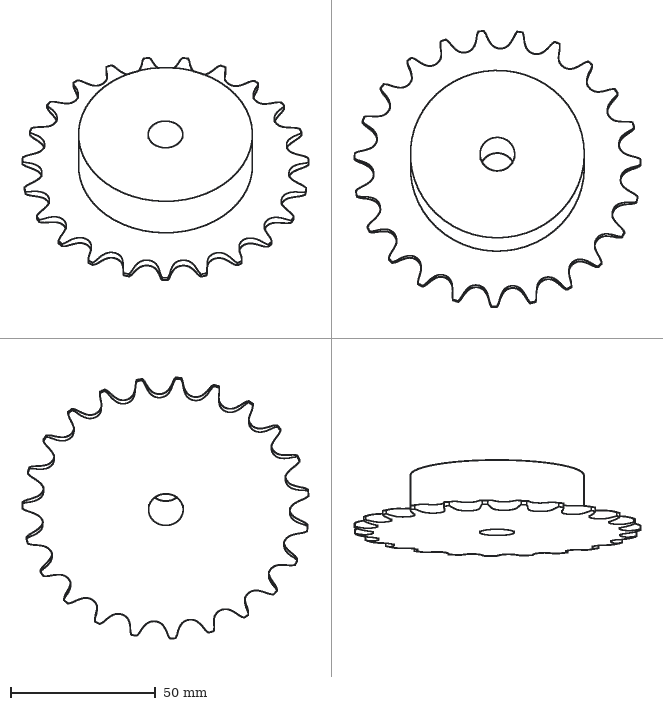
import cadquery as cq
import math

TOOTH_COUNT = 23
PITCH_DIAMETER = 93.2
ROLLER_DIAMETER = 7.7
SEAT_CLEARANCE = 0.04
TIP_DIAMETER = 99.0

DISC_THICKNESS = 3.0
BEVEL_RADIUS = 15.8
BEVEL_LENGTH = 5.0

HUB_DIAMETER = 60.0
BORE_DIAMETER = 12.0
TOTAL_HEIGHT = 20.0

PITCH_RADIUS = PITCH_DIAMETER / 2
TIP_RADIUS = TIP_DIAMETER / 2
HALF_TOOTH_ANGLE = math.pi / TOOTH_COUNT
FIRST_TOOTH_ANGLE = -math.pi / 2

SEAT_SWEEP = math.radians(55 - 60 / TOOTH_COUNT)
WORKING_SWEEP = math.radians(18 - 56 / TOOTH_COUNT)
FLANK_SLOPE = math.radians(17 - 64 / TOOTH_COUNT)

WORKING_CENTER_OFFSET = 0.8 * ROLLER_DIAMETER
TOPPING_CENTER_OFFSET = 1.4 * ROLLER_DIAMETER
SEAT_RADIUS = 0.5025 * ROLLER_DIAMETER + SEAT_CLEARANCE
WORKING_RADIUS = SEAT_RADIUS + WORKING_CENTER_OFFSET
STRAIGHT_LENGTH = (
    TOPPING_CENTER_OFFSET * math.sin(FLANK_SLOPE) - WORKING_CENTER_OFFSET * math.sin(WORKING_SWEEP)
)
TOPPING_RADIUS = (
    WORKING_CENTER_OFFSET * math.cos(WORKING_SWEEP)
    + TOPPING_CENTER_OFFSET * math.cos(FLANK_SLOPE)
    - WORKING_RADIUS
)


def polar(center, radius, angle):
    """Point at a distance and direction from a centre."""
    return (center[0] + radius * math.cos(angle), center[1] + radius * math.sin(angle))


def turned(point, angle):
    """Point rotated about the sprocket axis."""
    distance = math.hypot(*point)
    return polar((0, 0), distance, math.atan2(point[1], point[0]) + angle)


def mirrored(point):
    """Point reflected across the tooth centreline."""
    return (point[0], -point[1])


def topping_end_direction(center):
    """Direction from the topping arc's centre to where the arc meets the tip circle."""
    distance = math.hypot(*center)
    cosine = (TIP_RADIUS**2 - distance**2 - TOPPING_RADIUS**2) / (2 * distance * TOPPING_RADIUS)
    return math.atan2(center[1], center[0]) - math.acos(cosine)


def half_tooth_points():
    """Flank of a tooth centred on +X, from the root of the gap on its -Y side up to the tip circle.

    The points are named after the stretches they end or halve.
    """
    root_angle = math.pi - HALF_TOOTH_ANGLE
    seat_end_angle = root_angle - SEAT_SWEEP
    working_end_angle = seat_end_angle - WORKING_SWEEP
    straight_angle = working_end_angle - math.pi / 2
    topping_start_angle = working_end_angle - math.pi

    seat_center = polar((0, 0), PITCH_RADIUS, -HALF_TOOTH_ANGLE)
    seat_end = polar(seat_center, SEAT_RADIUS, seat_end_angle)
    working_center = polar(seat_end, WORKING_RADIUS, seat_end_angle - math.pi)
    working_end = polar(working_center, WORKING_RADIUS, working_end_angle)
    straight_end = polar(working_end, STRAIGHT_LENGTH, straight_angle)
    topping_center = polar(straight_end, TOPPING_RADIUS, working_end_angle)
    topping_end_angle = topping_end_direction(topping_center)
    topping_middle_angle = (topping_start_angle + topping_end_angle) / 2

    return {
        "root": polar(seat_center, SEAT_RADIUS, root_angle),
        "seat middle": polar(seat_center, SEAT_RADIUS, root_angle - SEAT_SWEEP / 2),
        "seat end": seat_end,
        "working middle": polar(working_center, WORKING_RADIUS, seat_end_angle - WORKING_SWEEP / 2),
        "working end": working_end,
        "straight end": straight_end,
        "topping middle": polar(topping_center, TOPPING_RADIUS, topping_middle_angle),
        "topping end": polar(topping_center, TOPPING_RADIUS, topping_end_angle),
    }


def add_arc(outline, angle, middle, end):
    """Outline continued by an arc of the tooth that is turned by the given angle."""
    return outline.threePointArc(turned(middle, angle), turned(end, angle))


def toothed_outline():
    """Closed outline of all teeth, each drawn from one gap root to the next."""
    rising = half_tooth_points()
    falling = {name: mirrored(point) for name, point in rising.items()}
    tip = (TIP_RADIUS, 0)

    outline = cq.Workplane("XY").moveTo(*turned(rising["root"], FIRST_TOOTH_ANGLE))
    for index in range(TOOTH_COUNT):
        angle = FIRST_TOOTH_ANGLE + index * 2 * HALF_TOOTH_ANGLE
        outline = add_arc(outline, angle, rising["seat middle"], rising["seat end"])
        outline = add_arc(outline, angle, rising["working middle"], rising["working end"])
        outline = outline.lineTo(*turned(rising["straight end"], angle))
        outline = add_arc(outline, angle, rising["topping middle"], rising["topping end"])
        outline = add_arc(outline, angle, tip, falling["topping end"])
        outline = add_arc(outline, angle, falling["topping middle"], falling["straight end"])
        outline = outline.lineTo(*turned(falling["working end"], angle))
        outline = add_arc(outline, angle, falling["working middle"], falling["seat end"])
        outline = add_arc(outline, angle, falling["seat middle"], falling["root"])
    return outline.close()


def bevel_drop(length):
    """Depth of the tooth rounding below the disc face, at a radial length from its start."""
    return BEVEL_RADIUS - math.sqrt(BEVEL_RADIUS**2 - length**2)


def rounded_blank():
    """Disc whose two faces curve towards each other near the tip circle."""
    bevel_start = TIP_RADIUS - BEVEL_LENGTH
    bevel_middle = TIP_RADIUS - BEVEL_LENGTH / 2
    middle_drop = bevel_drop(BEVEL_LENGTH / 2)
    tip_drop = bevel_drop(BEVEL_LENGTH)
    return (
        cq.Workplane("XZ")
        .lineTo(bevel_start, 0)
        .threePointArc((bevel_middle, middle_drop), (TIP_RADIUS, tip_drop))
        .lineTo(TIP_RADIUS, DISC_THICKNESS - tip_drop)
        .threePointArc((bevel_middle, DISC_THICKNESS - middle_drop), (bevel_start, DISC_THICKNESS))
        .lineTo(0, DISC_THICKNESS)
        .close()
        .revolve(360, (0, 0, 0), (0, 1, 0))
    )


toothed_disc = toothed_outline().extrude(DISC_THICKNESS).intersect(rounded_blank())
hub = cq.Workplane("XY").circle(HUB_DIAMETER / 2).extrude(TOTAL_HEIGHT)
bore = cq.Workplane("XY").circle(BORE_DIAMETER / 2).extrude(TOTAL_HEIGHT)

result = toothed_disc.union(hub).cut(bore)